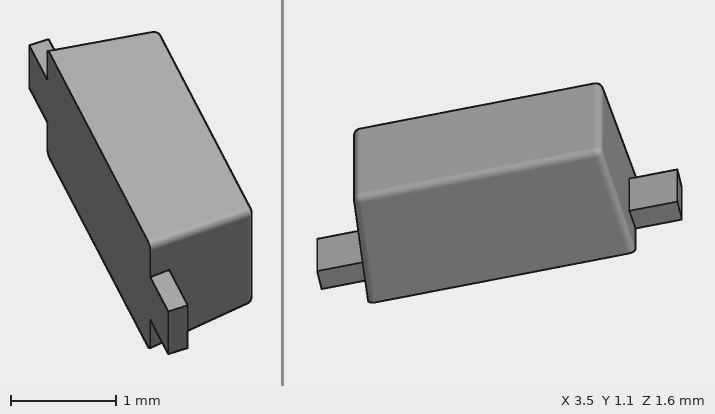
import cadquery as cq

overall_length = 3.5
body_length = 2.6
body_height = 1.6
body_depth = 1.1
draft_angle = 5.0
edge_radius = 0.075

lead_height = 0.648
lead_thickness = 0.2


def base_plane():
    """Plane of the base face, with its normal along +Y."""
    return cq.Workplane("XZ").transformed(rotate=(180, 0, 0))


def make_body():
    """Moulded body that narrows toward +Y, rounded everywhere but the base."""
    block = base_plane().rect(body_length, body_height).extrude(body_depth, taper=draft_angle)
    return block.edges("not(<Y)").fillet(edge_radius)


def make_leads():
    """One strip through the body forms both end terminals."""
    return base_plane().rect(overall_length, lead_height).extrude(lead_thickness)


result = make_body().union(make_leads())